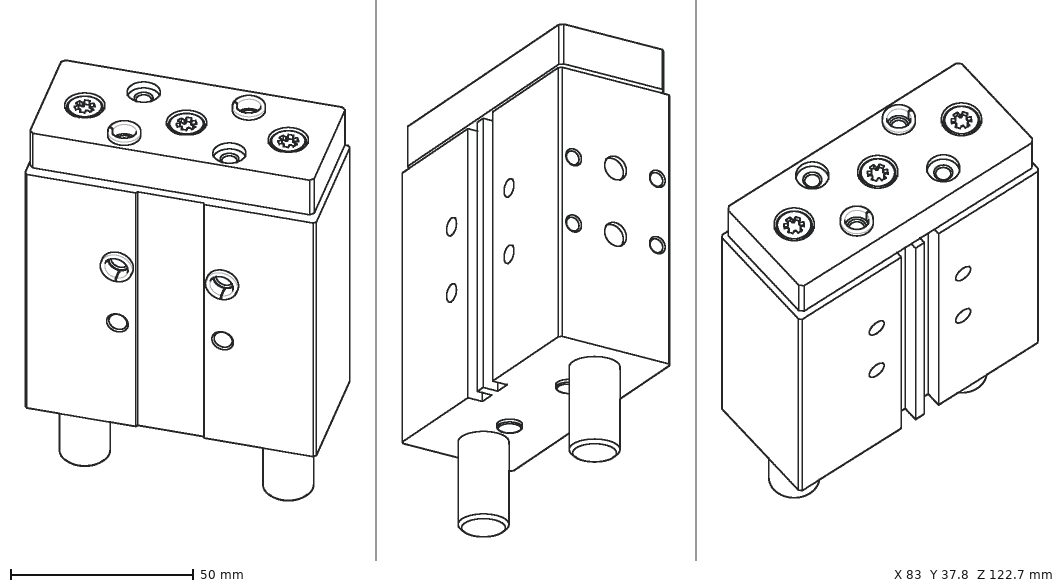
import cadquery as cq
import math

housing_width = 83.0
housing_depth = 36.0
housing_bottom = 25.9
housing_height = 81.3
housing_chamfer = 0.7

plate_width = 80.9
plate_depth = 33.9
plate_offset_y = 0.1
plate_gap = 1.7
plate_height = 12.0
plate_chamfer = 1.04

rod_axis_y = -1.0
guide_rod_spacing = 58.0
guide_rod_diameter = 14.0
guide_rod_chamfer_height = 1.0
guide_rod_chamfer_width = 1.0
piston_rod_diameter = 9.0
piston_rod_insertion = 40.5

head_diameter = 10.0
head_height = 4.9
head_sink = 0.4
head_chamfer = 0.4
neck_diameter = 4.9
counterbore_diameter = 11.0
torx_tip_diameter = 5.5
torx_core_diameter = 3.7
torx_lobe_width = 1.5
torx_depth = 1.5

sleeve_diameter = 9.1
sleeve_bore = 6.6
sleeve_slit = 0.2
sleeve_protrusion = 1.8
sleeve_recess = 2.1

mount_spacing_x = 30.0
mount_pitch_z = 20.0
mount_upper_z = 80.9
front_hole_diameter = 5.2
front_hole_chamfer = 0.5
plate_hole_spacing_y = 20.0
plate_hole_diameter = 4.2
plate_hole_chamfer = 0.5

side_hole_diameter = 4.0
side_hole_chamfer = 0.5
side_hole_depth = 9.8
side_hole_spacing_y = 27.0
drill_point_angle = 118.0
side_recess_diameter = 7.0
side_recess_depth = 1.6

front_channel_mouth = 19.5
front_channel_floor = 18.8
front_channel_depth = 0.6
back_slot_width = 4.9
back_slot_depth = 4.7
back_rib_width = 3.1

stub_diameter = 7.0
stub_height = 1.2
stub_chamfer = 0.4
stub_spacing = 30.7

housing_top = housing_bottom + housing_height
housing_front = -housing_depth / 2
housing_left = -housing_width / 2
plate_bottom = housing_top + plate_gap
plate_top = plate_bottom + plate_height
head_top = plate_top - head_sink
head_bottom = head_top - head_height
sleeve_length = sleeve_recess + sleeve_protrusion
piston_rod_x = 0
guide_rod_xs = [-guide_rod_spacing / 2, guide_rod_spacing / 2]
mount_xs = [-mount_spacing_x / 2, mount_spacing_x / 2]
mount_zs = [mount_upper_z, mount_upper_z - mount_pitch_z]
plate_hole_ys = [rod_axis_y + side * plate_hole_spacing_y / 2 for side in (-1, 1)]
plate_hole_points = [(x, y) for x in mount_xs for y in plate_hole_ys]
plate_sleeve_points = [(mount_xs[0], plate_hole_ys[0]), (mount_xs[1], plate_hole_ys[1])]


def cylinder(diameter, length, base, axis):
    """A cylinder of the given length that starts at base and runs along axis."""
    return cq.Workplane(obj=cq.Solid.makeCylinder(diameter / 2, length, cq.Vector(*base), cq.Vector(*axis)))


def entry_chamfer(diameter, size, mouth, axis):
    """A cone that breaks the edge of a hole whose mouth is at the given point and which runs along axis."""
    cone = cq.Solid.makeCone(diameter / 2 + size, diameter / 2, size, cq.Vector(*mouth), cq.Vector(*axis))
    return cq.Workplane(obj=cone)


def chamfered_block(width, depth, height, chamfer, center_y, bottom):
    block = cq.Workplane().box(width, depth, height, centered=(True, True, False))
    return block.edges("|Z").chamfer(chamfer).translate((0, center_y, bottom))


def make_housing():
    housing = chamfered_block(
        housing_width, housing_depth, housing_height, housing_chamfer, 0, housing_bottom
    )
    housing = cut_channels(housing)
    housing = cut_rod_bores(housing)
    housing = cut_front_holes(housing)
    housing = cut_side_features(housing)
    return add_stubs(housing)


def cut_channels(housing):
    """A shallow channel with sloping sides down the front, and two slots beside a rib down the back."""
    base = cq.Workplane(origin=(0, 0, housing_bottom))
    floor_y = housing_front + front_channel_depth
    front_channel = base.polyline(
        [
            (-front_channel_mouth / 2, housing_front),
            (front_channel_mouth / 2, housing_front),
            (front_channel_floor / 2, floor_y),
            (-front_channel_floor / 2, floor_y),
        ]
    ).close()
    housing = housing.cut(front_channel.extrude(housing_height))
    slot_x = (back_rib_width + back_slot_width) / 2
    back_slots = (
        base.pushPoints([(-slot_x, -housing_front), (slot_x, -housing_front)])
        .rect(back_slot_width, 2 * back_slot_depth)
        .extrude(housing_height)
    )
    return housing.cut(back_slots)


def cut_rod_bores(housing):
    """Through bores for the guide rods and a blind bore for the piston rod."""
    for x in guide_rod_xs:
        base = (x, rod_axis_y, housing_bottom)
        housing = housing.cut(cylinder(guide_rod_diameter, housing_height, base, (0, 0, 1)))
    mouth = (piston_rod_x, rod_axis_y, housing_top)
    return housing.cut(cylinder(piston_rod_diameter, piston_rod_insertion, mouth, (0, 0, -1)))


def cut_front_holes(housing):
    """Four through holes along Y; the upper two have a recess for a sleeve."""
    for x in mount_xs:
        for z in mount_zs:
            mouth = (x, housing_front, z)
            hole_mouth = mouth
            if z == mount_upper_z:
                housing = housing.cut(cylinder(sleeve_diameter, sleeve_recess, mouth, (0, 1, 0)))
                hole_mouth = (x, housing_front + sleeve_recess, z)
            housing = housing.cut(cylinder(front_hole_diameter, housing_depth, mouth, (0, 1, 0)))
            housing = housing.cut(
                entry_chamfer(front_hole_diameter, front_hole_chamfer, hole_mouth, (0, 1, 0))
            )
    return housing


def cut_side_features(housing):
    """Four drilled holes and two shallow round recesses in the -X side."""
    inward = (1, 0, 0)
    point_length = side_hole_diameter / 2 / math.tan(math.radians(drill_point_angle / 2))
    for z in mount_zs:
        housing = housing.cut(
            cylinder(side_recess_diameter, side_recess_depth, (housing_left, 0, z), inward)
        )
        for y in (-side_hole_spacing_y / 2, side_hole_spacing_y / 2):
            mouth = (housing_left, y, z)
            floor = (housing_left + side_hole_depth, y, z)
            drill_point = cq.Solid.makeCone(
                side_hole_diameter / 2, 0, point_length, cq.Vector(*floor), cq.Vector(*inward)
            )
            housing = housing.cut(cylinder(side_hole_diameter, side_hole_depth, mouth, inward))
            housing = housing.cut(cq.Workplane(obj=drill_point))
            housing = housing.cut(entry_chamfer(side_hole_diameter, side_hole_chamfer, mouth, inward))
    return housing


def add_stubs(housing):
    """Two short round stubs under the housing."""
    for x in (-stub_spacing / 2, stub_spacing / 2):
        stub = cylinder(stub_diameter, stub_height, (x, rod_axis_y, housing_bottom), (0, 0, -1))
        housing = housing.union(stub.faces("<Z").chamfer(stub_chamfer))
    return housing


def make_plate():
    plate = chamfered_block(
        plate_width, plate_depth, plate_height, plate_chamfer, plate_offset_y, plate_bottom
    )
    down = (0, 0, -1)
    for x in [piston_rod_x, *guide_rod_xs]:
        mouth = (x, rod_axis_y, plate_top)
        plate = plate.cut(cylinder(counterbore_diameter, plate_top - head_bottom, mouth, down))
        plate = plate.cut(cylinder(neck_diameter, plate_height, mouth, down))
    for x, y in plate_hole_points:
        mouth = (x, y, plate_top)
        hole_mouth = (x, y, plate_top - sleeve_recess)
        plate = plate.cut(cylinder(sleeve_diameter, sleeve_recess, mouth, down))
        plate = plate.cut(cylinder(plate_hole_diameter, plate_height, mouth, down))
        plate = plate.cut(entry_chamfer(plate_hole_diameter, plate_hole_chamfer, hole_mouth, down))
    return plate


def make_torx_recess(x):
    """A six-lobed driver recess in the top of a rod head."""
    floor = cq.Workplane(origin=(x, rod_axis_y, head_top - torx_depth))
    recess = floor.circle(torx_core_diameter / 2).extrude(torx_depth)
    for angle in (30, 90, 150):
        lobes = floor.transformed(rotate=(0, 0, angle)).rect(torx_tip_diameter, torx_lobe_width)
        recess = recess.union(lobes.extrude(torx_depth))
    return recess


def make_fastening(x):
    """The neck through the plate and the head that holds the plate on a rod."""
    neck = cylinder(neck_diameter, head_bottom - plate_bottom, (x, rod_axis_y, plate_bottom), (0, 0, 1))
    head = cylinder(head_diameter, head_height, (x, rod_axis_y, head_bottom), (0, 0, 1))
    head = head.faces(">Z").chamfer(head_chamfer)
    return neck.union(head).cut(make_torx_recess(x))


def make_guide_rod(x):
    rod = cylinder(guide_rod_diameter, plate_bottom, (x, rod_axis_y, 0), (0, 0, 1))
    rod = rod.faces("<Z").chamfer(guide_rod_chamfer_height, guide_rod_chamfer_width)
    return rod.union(make_fastening(x))


def make_piston_rod():
    bottom = housing_top - piston_rod_insertion
    base = (piston_rod_x, rod_axis_y, bottom)
    rod = cylinder(piston_rod_diameter, plate_bottom - bottom, base, (0, 0, 1))
    return rod.union(make_fastening(piston_rod_x))


def make_sleeve():
    """A slit sleeve that stands on Z = 0, with a half-round upper end and its slit toward -X."""
    outer = -sleeve_diameter / 2
    inner = -sleeve_bore / 2
    shoulder = sleeve_length - (inner - outer) / 2
    profile = (
        cq.Workplane("XZ")
        .moveTo(inner, 0)
        .lineTo(outer, 0)
        .lineTo(outer, shoulder)
        .threePointArc(((outer + inner) / 2, sleeve_length), (inner, shoulder))
        .close()
    )
    sleeve = profile.revolve(360, (0, 0), (0, 1))
    slit = cq.Workplane().box(sleeve_diameter, sleeve_slit, sleeve_length, centered=(False, True, False))
    return sleeve.cut(slit.translate((-sleeve_diameter, 0, 0)))


def make_plate_sleeve(x, y):
    return make_sleeve().translate((x, y, plate_top - sleeve_recess))


def make_front_sleeve(x):
    """A sleeve that points toward -Y, with its slit turned down."""
    sleeve = make_sleeve().rotate((0, 0, 0), (0, 0, 1), 90)
    sleeve = sleeve.rotate((0, 0, 0), (1, 0, 0), 90)
    return sleeve.translate((x, housing_front + sleeve_recess, mount_upper_z))


housing = make_housing()
plate = make_plate()
piston_rod = make_piston_rod()
guide_rods = [make_guide_rod(x) for x in guide_rod_xs]
plate_sleeves = [make_plate_sleeve(x, y) for x, y in plate_sleeve_points]
front_sleeves = [make_front_sleeve(x) for x in mount_xs]

result = cq.Compound.makeCompound(
    [
        housing.val(),
        plate.val(),
        piston_rod.val(),
        *[rod.val() for rod in guide_rods],
        *[sleeve.val() for sleeve in plate_sleeves],
        *[sleeve.val() for sleeve in front_sleeves],
    ]
)